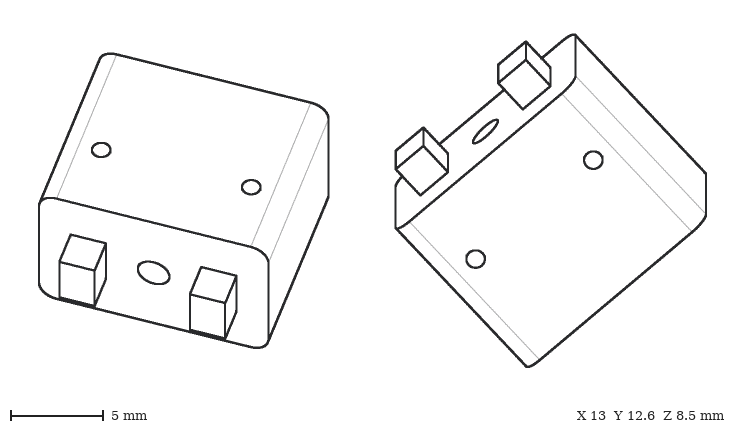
import cadquery as cq

width = 13.0
height = 8.5
total_length = 12.6
prong_length = 2.0
body_length = total_length - prong_length
corner_radius = 1.0

prong_width = 2.0
prong_height = 3.0
prong_spacing = 7.4

center_hole_diameter = 1.8
pin_hole_diameter = 1.0
pin_hole_spacing = 8.5
pin_hole_setback = 3.98


def make_body():
    """Block with its four long edges rounded."""
    block = cq.Workplane("XY").box(width, body_length, height, centered=(True, False, True))
    return block.edges("|Y").fillet(corner_radius)


def make_prongs():
    """Pair of prongs reaching forward (-Y) from the front face."""
    return (
        cq.Workplane("XZ")
        .pushPoints([(side * prong_spacing / 2, 0) for side in (-1, 1)])
        .rect(prong_width, prong_height)
        .extrude(prong_length)
    )


def make_center_hole():
    """Lengthwise hole through the middle of the body."""
    return cq.Workplane("XZ").circle(center_hole_diameter / 2).extrude(-body_length)


def make_pin_holes():
    """Pair of vertical holes through the full height."""
    return (
        cq.Workplane("XY")
        .pushPoints([(side * pin_hole_spacing / 2, pin_hole_setback) for side in (-1, 1)])
        .circle(pin_hole_diameter / 2)
        .extrude(height / 2, both=True)
    )


result = make_body().union(make_prongs()).cut(make_center_hole()).cut(make_pin_holes())